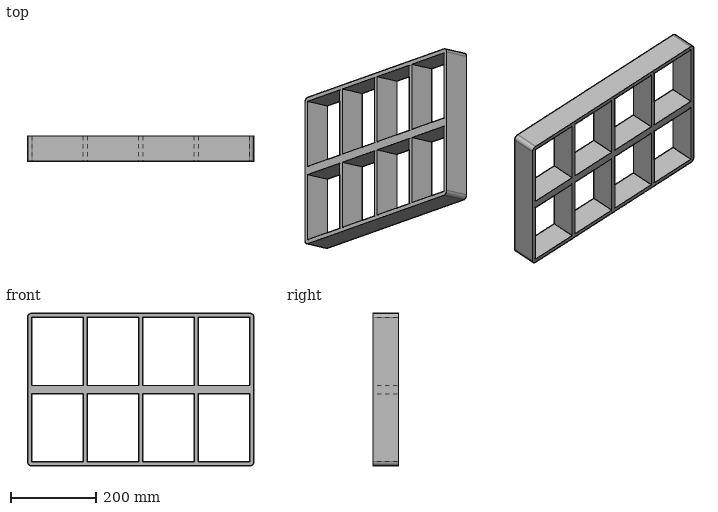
import cadquery as cq

length = 532.0
depth = 60.0
height = 359.0

wall = 10.0
middle_rail = 2 * wall
corner_radius = wall
columns = 4
rows = 2

window_width = (length - (columns + 1) * wall) / columns
window_height = (height - 2 * wall - (rows - 1) * middle_rail) / rows
column_pitch = window_width + wall
row_pitch = window_height + middle_rail


def frame_block():
    """Solid block with its four corner edges along Y rounded."""
    return cq.Workplane("XY").box(length, depth, height).edges("|Y").fillet(corner_radius)


def windows():
    """Grid of rectangular openings running through the full depth."""
    return (
        cq.Workplane("XZ")
        .rarray(column_pitch, row_pitch, columns, rows)
        .rect(window_width, window_height)
        .extrude(depth, both=True)
    )


result = frame_block().cut(windows())